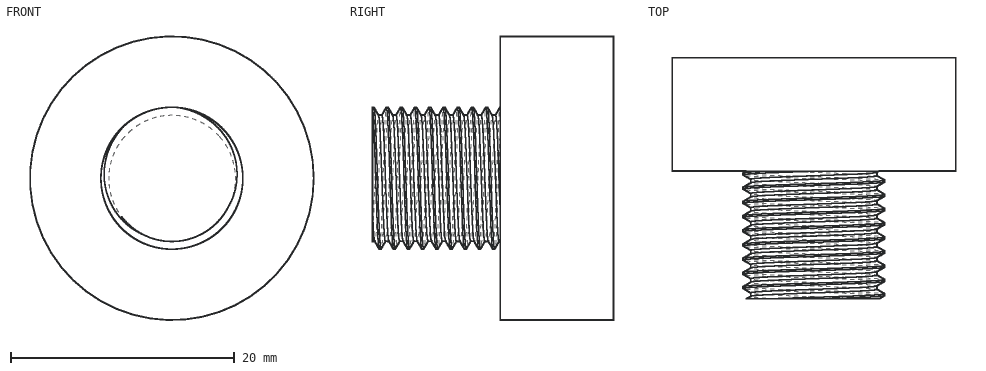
import cadquery as cq
import math

head_diameter = 25.4
head_length = 10.15

shank_diameter = 12.7
shank_length = 11.43
pitch = 1.27
flank_angle = math.radians(30)
sharp_height = pitch / (2 * math.tan(flank_angle))
thread_depth = sharp_height * 5 / 8
crest_width = pitch / 8
crest_offset = 0.9
root_overlap = 0.05

crest_radius = shank_diameter / 2
core_radius = crest_radius - thread_depth


def make_head():
    """Plain disc, from the shank's face at Y = 0 towards +Y."""
    return cq.Workplane("XZ").circle(head_diameter / 2).extrude(-head_length)


def make_ridge():
    """Right-handed thread ridge around Z, running past both shank ends."""
    start = crest_offset - 2 * pitch
    turns = math.ceil((shank_length - start) / pitch) + 1
    base_radius = core_radius - root_overlap
    crest_half = crest_width / 2
    base_half = crest_half + (crest_radius - base_radius) * math.tan(flank_angle)
    path = cq.Wire.makeHelix(pitch, turns * pitch, core_radius, cq.Vector(0, 0, start))
    return (
        cq.Workplane("XZ")
        .moveTo(base_radius, start - base_half)
        .lineTo(crest_radius, start - crest_half)
        .lineTo(crest_radius, start + crest_half)
        .lineTo(base_radius, start + base_half)
        .close()
        .sweep(cq.Workplane(path), isFrenet=True)
    )


def make_shank():
    """Core and ridge, with the ridge cut flush at both ends, turned to point along -Y."""
    core = cq.Workplane("XY").circle(core_radius).extrude(shank_length)
    envelope = cq.Workplane("XY").circle(head_diameter / 2).extrude(shank_length)
    threaded = core.union(make_ridge().intersect(envelope))
    return threaded.rotate((0, 0, 0), (1, 0, 0), 90)


result = make_head().union(make_shank())